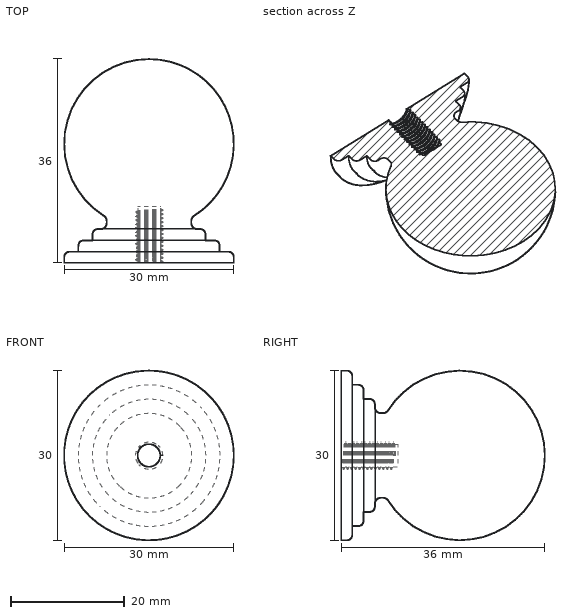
import cadquery as cq
import math

tier_height = 2.0
tier_radii = (15.0, 12.5, 10.0)
edge_radius = 1.0

neck_radius = 7.5
blend_radius = 1.0
ball_radius = 15.0
base_height = tier_height * len(tier_radii)
ball_centre_y = base_height + ball_radius

hole_radius = 2.0
hole_depth = 10.0
thread_pitch = 0.7
thread_depth = 0.4
groove_mouth_width = 0.5
groove_root_width = 0.1
cutter_overlap = 0.15
thread_turns = math.floor((hole_depth - groove_mouth_width) / thread_pitch)


def point_on_arc(centre, radius, angle):
    """Point at the given angle (radians) on a circle about centre."""
    return (centre[0] + radius * math.cos(angle), centre[1] + radius * math.sin(angle))


def add_tier(profile, bottom_y, radius):
    """Add one tier with a rounded upper edge to the half profile."""
    top_y = bottom_y + tier_height
    edge_centre = (radius - edge_radius, top_y - edge_radius)
    return (
        profile.lineTo(radius, bottom_y)
        .lineTo(radius, edge_centre[1])
        .threePointArc(
            point_on_arc(edge_centre, edge_radius, math.pi / 4),
            (edge_centre[0], top_y),
        )
    )


def add_neck(profile):
    """Add the neck, blended into the top tier below and the ball above."""
    blend_centre_x = neck_radius + blend_radius
    lower_centre = (blend_centre_x, base_height + blend_radius)

    centre_distance = ball_radius + blend_radius
    contact_angle = math.acos(blend_centre_x / centre_distance)
    upper_centre = (blend_centre_x, ball_centre_y - centre_distance * math.sin(contact_angle))

    return (
        profile.lineTo(blend_centre_x, base_height)
        .threePointArc(
            point_on_arc(lower_centre, blend_radius, math.pi * 5 / 4),
            (neck_radius, lower_centre[1]),
        )
        .lineTo(neck_radius, upper_centre[1])
        .threePointArc(
            point_on_arc(upper_centre, blend_radius, math.pi - contact_angle / 2),
            point_on_arc((0, ball_centre_y), ball_radius, -contact_angle),
        )
    )


def make_knob_body():
    """Revolve the half profile (radius along X, height along Y) about the Y axis."""
    profile = cq.Workplane("XY").moveTo(0, 0)
    for tier, radius in enumerate(tier_radii):
        profile = add_tier(profile, tier * tier_height, radius)
    profile = add_neck(profile)
    profile = profile.threePointArc(
        (ball_radius, ball_centre_y),
        (0, ball_centre_y + ball_radius),
    )
    return profile.close().revolve(360, (0, 0, 0), (0, 1, 0))


def make_hole():
    """Plain blind hole from the mounting face."""
    return cq.Workplane("XZ").circle(hole_radius).extrude(-hole_depth)


def make_thread_groove():
    """Right-hand helical groove, swept along Z and then turned onto the Y axis."""
    half_mouth = groove_mouth_width / 2
    half_root = groove_root_width / 2
    inner_radius = hole_radius - cutter_overlap
    root_radius = hole_radius + thread_depth
    half_inner = half_mouth + (half_mouth - half_root) * cutter_overlap / thread_depth

    helix = cq.Wire.makeHelix(thread_pitch, thread_pitch * thread_turns, hole_radius)
    groove = (
        cq.Workplane("XZ")
        .polyline(
            [
                (inner_radius, -half_inner),
                (root_radius, -half_root),
                (root_radius, half_root),
                (inner_radius, half_inner),
            ]
        )
        .close()
        .sweep(cq.Workplane(obj=helix), isFrenet=True)
    )
    return groove.translate((0, 0, half_mouth)).rotate((0, 0, 0), (1, 0, 0), -90)


result = make_knob_body().cut(make_hole()).cut(make_thread_groove())